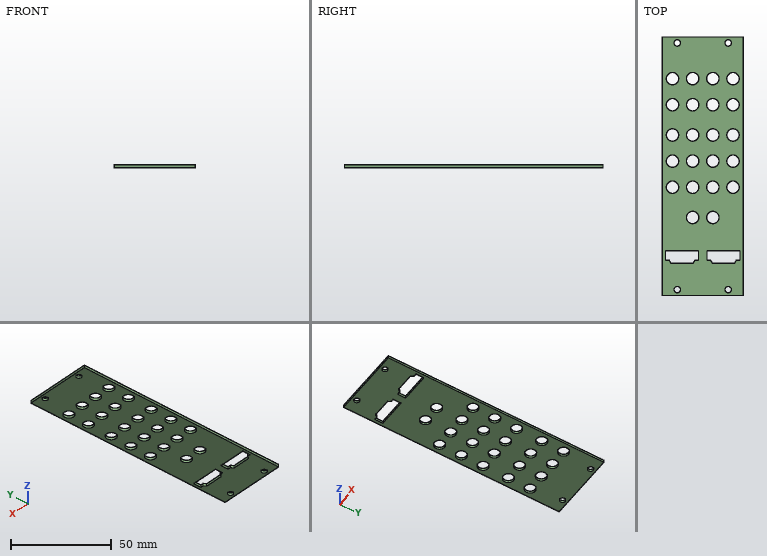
import cadquery as cq

panel_width = 40.3
panel_height = 128.5
panel_thickness = 1.5

mount_diameter = 3.1
mount_spacing_x = 25.3
mount_spacing_y = 122.6

jack_diameter = 6.0
column_pitch = 10.0
top_row_y = 43.5
narrow_step = 13.0
wide_step = 15.0
row_steps = [narrow_step, wide_step, narrow_step, narrow_step, wide_step]
full_row_count = 4
last_row_count = 2

opening_spacing = 20.5
opening_width = 16.3
opening_top_y = -42.0
opening_side_height = 4.6
lip_top_width = 12.7
lip_bottom_width = 10.9
lip_height = 1.5


def round_holes(points, diameter):
    """Cylinders that pass through the panel at the given centres."""
    return cq.Workplane("XY").pushPoints(points).circle(diameter / 2).extrude(panel_thickness)


def row_points(y, count):
    """Evenly pitched points in one row, centred on the panel."""
    first_x = -column_pitch * (count - 1) / 2
    return [(first_x + column_pitch * i, y) for i in range(count)]


def jack_points():
    """Full rows from the top down, followed by the shorter last row."""
    points = []
    y = top_row_y
    for step in row_steps:
        points += row_points(y, full_row_count)
        y -= step
    return points + row_points(y, last_row_count)


def connector_opening(center_x):
    """Through opening with square shoulders above a tapered lip."""
    shoulder_y = opening_top_y - opening_side_height
    bottom_y = shoulder_y - lip_height
    right_side = [
        (opening_width / 2, opening_top_y),
        (opening_width / 2, shoulder_y),
        (lip_top_width / 2, shoulder_y),
        (lip_bottom_width / 2, bottom_y),
    ]
    left_side = [(-x, y) for x, y in reversed(right_side)]
    outline = [(center_x + x, y) for x, y in right_side + left_side]
    return cq.Workplane("XY").polyline(outline).close().extrude(panel_thickness)


mount_points = [
    (side_x * mount_spacing_x / 2, side_y * mount_spacing_y / 2)
    for side_x in (-1, 1)
    for side_y in (-1, 1)
]

panel = cq.Workplane("XY").box(panel_width, panel_height, panel_thickness, centered=(True, True, False))
panel = panel.cut(round_holes(mount_points, mount_diameter))
panel = panel.cut(round_holes(jack_points(), jack_diameter))
for side in (-1, 1):
    panel = panel.cut(connector_opening(side * opening_spacing / 2))

result = panel